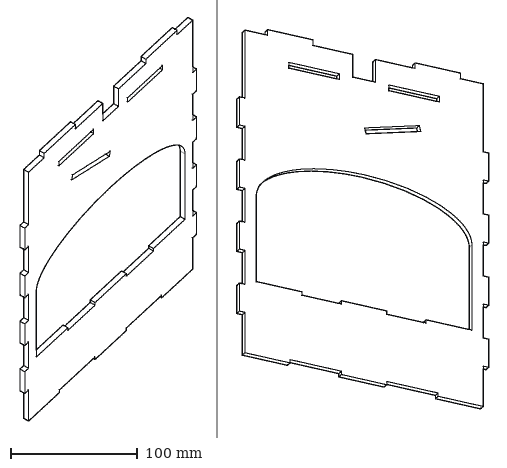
import cadquery as cq

thickness = 5.0
total_width = 220.0
total_height = 290.0
tab_depth = 5.0
body_width = total_width - 2 * tab_depth
body_height = total_height - tab_depth

side_tab_height = 25.0
side_tab_pitch = 54.8
side_tab_count = 4
lowest_side_tab_base = 35.7
top_tab_width = 40.0
top_tab_inset = 20.0

top_notch_width = 20.0
top_notch_depth = 20.0

slot_width = 5.0
level_slot_length = 44.7
level_slot_offset = 44.0
level_slot_drop = 27.3
tilted_slot_length = 50.0
tilted_slot_y = -25.2
tilted_slot_z = 226.5
tilted_slot_angle = -15

opening_width = 190.2
opening_base = 65.2
spring_height = 140.5
arch_rise = 40.5

recess_depth = 3.0
recess_inner_y = 20.0
sill_recess_width = 34.8
bottom_recess_width = 45.2


def block(center_y, base_z, width, height):
    """Full-thickness block standing on base_z, centred on the panel plane."""
    return cq.Workplane("XY").box(thickness, width, height, centered=(True, True, False)).translate(
        (0, center_y, base_z)
    )


def arched_opening():
    """Window with vertical jambs and a half-elliptical head."""
    half_width = opening_width / 2
    jambs = block(0, opening_base, opening_width, spring_height - opening_base)
    ellipse = (
        cq.Workplane("YZ", origin=(-thickness / 2, 0, spring_height))
        .ellipse(half_width, arch_rise)
        .extrude(thickness)
    )
    head = ellipse.intersect(block(0, spring_height, opening_width, arch_rise))
    return jambs.union(head)


def tilted_slot():
    """Slot rising toward -Y."""
    return (
        cq.Workplane("YZ", origin=(-thickness / 2, tilted_slot_y, tilted_slot_z))
        .transformed(rotate=(0, 0, tilted_slot_angle))
        .rect(tilted_slot_length, slot_width)
        .extrude(thickness)
    )


result = block(0, 0, body_width, body_height)

for index in range(side_tab_count):
    tab_base = lowest_side_tab_base + index * side_tab_pitch
    result = result.union(block(0, tab_base, total_width, side_tab_height))

top_tab_y = body_width / 2 - top_tab_inset - top_tab_width / 2
for side in (-1, 1):
    result = result.union(block(side * top_tab_y, body_height, top_tab_width, tab_depth))

result = result.cut(block(0, body_height - top_notch_depth, top_notch_width, top_notch_depth))
result = result.cut(arched_opening())
result = result.cut(tilted_slot())

level_slot_base = total_height - level_slot_drop - slot_width / 2
sill_recess_y = recess_inner_y + sill_recess_width / 2
bottom_recess_y = recess_inner_y + bottom_recess_width / 2
for side in (-1, 1):
    result = result.cut(block(side * level_slot_offset, level_slot_base, level_slot_length, slot_width))
    result = result.cut(
        block(side * sill_recess_y, opening_base - recess_depth, sill_recess_width, recess_depth)
    )
    result = result.cut(block(side * bottom_recess_y, 0, bottom_recess_width, recess_depth))